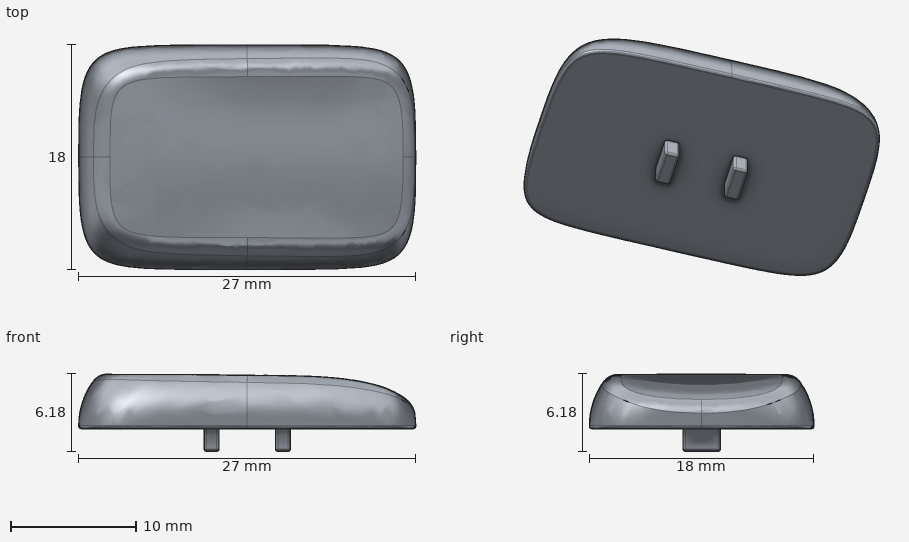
import cadquery as cq
import math

cap_length = 26.97
cap_width = 17.98
base_round = 0.25

end_pole_shares = (0.54, 0.966)
side_pole_shares = (0.878, 0.672)

corner_softening = 0.020

wall_arc_radius = 6.0
blank_top = 5.0
wall_section_count = 6

rim_y = 6.5
dish_stations = [
    (-15.0, 5.0, 4.4),
    (-11.0, 4.37, 4.4),
    (-5.6, 3.8, 4.37),
    (0.0, 3.55, 4.3),
    (6.1, 3.39, 4.14),
    (9.5, 3.07, 3.72),
    (12.0, 2.5, 3.05),
    (15.0, 1.2, 1.7),
]
rim_round = 1.4

cutter_margin = 1.0
cutter_ceiling = 8.0

leg_pitch = 5.7
leg_thickness = 1.2
leg_width = 3.0
leg_length = 1.8
leg_round = 0.2


def wall_rise(height):
    """How far a height lies above the base round."""
    return max(height - base_round, 0)


def wall_inset(height):
    """Distance the wall has moved inward at a height."""
    rise = wall_rise(height)
    return wall_arc_radius - math.sqrt(wall_arc_radius**2 - rise**2)


def outline(height):
    """Closed outline of the cap at a height, made of four mirrored quarters."""
    inset = wall_inset(height)
    half_x = cap_length / 2 - inset
    half_y = cap_width / 2 - inset
    softened = 1 - corner_softening * wall_rise(height)
    quarter = [(half_x, 0)]
    quarter += [(half_x, half_y * softened * share) for share in end_pole_shares]
    quarter += [(half_x * softened * share, half_y) for share in side_pole_shares]
    quarter += [(0, half_y)]
    edges = []
    for sign_x, sign_y in [(1, 1), (-1, 1), (-1, -1), (1, -1)]:
        poles = [cq.Vector(sign_x * x, sign_y * y, height) for x, y in quarter]
        if sign_x * sign_y < 0:
            poles.reverse()
        edges.append(cq.Edge.makeBezier(poles))
    return cq.Wire.assembleEdges(edges)


def make_blank():
    """Cap body with leaning walls, taller than the finished cap."""
    step = (blank_top - base_round) / (wall_section_count - 1)
    heights = [0] + [base_round + i * step for i in range(wall_section_count)]
    return cq.Workplane(cq.Solid.makeLoft([outline(height) for height in heights]))


def make_dish_cutter():
    """Solid above the dished top, lofted along X through arcs that sag across Y."""
    reach_y = cap_width / 2 + cutter_margin
    sections = []
    for x, centre_height, rim_height in dish_stations:
        edge_height = centre_height + (rim_height - centre_height) * (reach_y / rim_y) ** 2
        section = (
            cq.Workplane("YZ", origin=(x, 0, 0))
            .moveTo(-reach_y, edge_height)
            .threePointArc((0, centre_height), (reach_y, edge_height))
            .lineTo(reach_y, cutter_ceiling)
            .lineTo(-reach_y, cutter_ceiling)
            .close()
        )
        sections.append(section.val())
    return cq.Workplane(cq.Solid.makeLoft(sections))


def make_cap():
    """Cap with a dished top, a soft rim and a small round along the base."""
    dished = make_blank().cut(make_dish_cutter())
    dish_face = cq.selectors.NearestToPointSelector((0, 0, blank_top))
    cap = dished.faces(dish_face).edges().fillet(rim_round)
    return cap.faces("<Z").edges().fillet(base_round)


def make_legs():
    """Pair of rounded legs, standing on the base plane and pointing down."""
    return (
        cq.Workplane("XY")
        .pushPoints([(-leg_pitch / 2, 0), (leg_pitch / 2, 0)])
        .rect(leg_thickness, leg_width)
        .extrude(-leg_length)
        .edges("|Z or <Z")
        .fillet(leg_round)
    )


result = make_cap().union(make_legs())